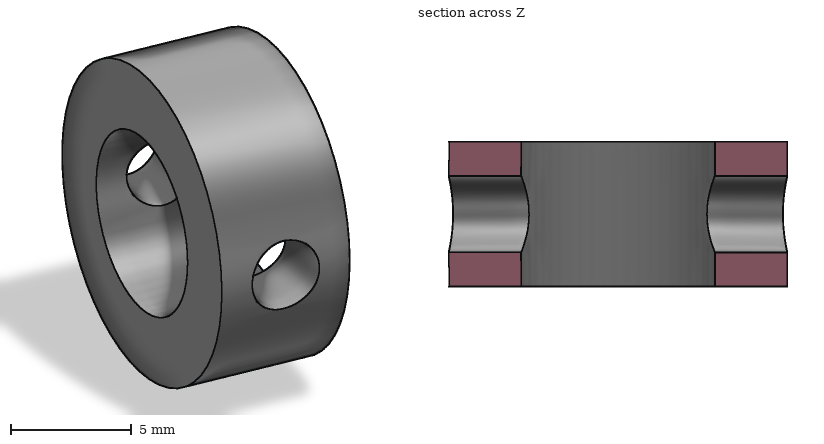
import cadquery as cq

outer_diameter = 14.0
bore_diameter = 8.0
width = 6.0
cross_hole_diameter = 3.15


def make_ring():
    """Plain ring, centred on the origin, with its axis along Y."""
    return (
        cq.Workplane("XZ")
        .circle(outer_diameter / 2)
        .circle(bore_diameter / 2)
        .extrude(width / 2, both=True)
    )


def make_cross_hole():
    """Cylinder along X, long enough to pierce both walls of the ring."""
    return (
        cq.Workplane("YZ")
        .circle(cross_hole_diameter / 2)
        .extrude(outer_diameter / 2, both=True)
    )


result = make_ring().cut(make_cross_hole())